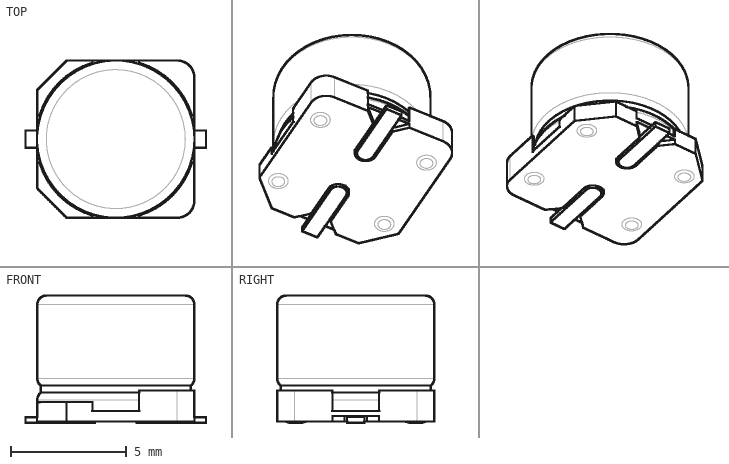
import cadquery as cq
import math

overall_length = 7.8
base_width = 6.8
overall_height = 5.5
half_base = base_width / 2

can_radius = half_base
groove_radius = 6.5 / 2
can_edge_radius = 0.4
groove_bottom = 1.3
groove_top = 1.61
can_bottom_radius = 0.48

base_bottom = 0.05
pocket_floor = 0.5
low_rim_top = 0.9
high_rim_top = 1.405
corner_chamfer = 1.28
corner_radius = 0.75
pocket_diameter = 6.895
side_opening = 2.03

foot_top_radius = 0.85 / 2
foot_tip_radius = 0.55 / 2
foot_x_left = -1.9
foot_x_right = 2.0
foot_y = 2.59

lead_width = 0.75
lead_thickness = 0.25
lead_inner_end = 0.9
lead_outer_end = overall_length / 2
channel_width = 0.95
channel_top = 0.3
lead_round_center = lead_inner_end + lead_width / 2


def make_can():
    """Revolved can with a rounded top, a crimp groove and a rounded bottom."""
    groove_depth = can_radius - groove_radius
    arc_center_radius = can_radius - can_edge_radius
    lip_height = math.sqrt(can_edge_radius**2 - (can_edge_radius - groove_depth) ** 2)
    lip_half_angle = math.asin(lip_height / can_edge_radius) / 2
    lip_mid_radius = arc_center_radius + can_edge_radius * math.cos(lip_half_angle)
    lip_mid_height = can_edge_radius * math.sin(lip_half_angle)
    lower_lip = groove_bottom - lip_height
    upper_lip = groove_top + lip_height
    profile = (
        cq.Workplane("XZ")
        .moveTo(0, pocket_floor)
        .lineTo(can_radius, pocket_floor)
        .lineTo(can_radius, lower_lip)
        .threePointArc((lip_mid_radius, lower_lip + lip_mid_height), (groove_radius, groove_bottom))
        .lineTo(groove_radius, groove_top)
        .threePointArc((lip_mid_radius, upper_lip - lip_mid_height), (can_radius, upper_lip))
        .lineTo(can_radius, overall_height)
        .lineTo(0, overall_height)
        .close()
    )
    can = profile.revolve(360, (0, 0, 0), (0, 1, 0))
    can = can.faces(">Z").edges().fillet(can_edge_radius)
    return can.faces("<Z").edges().fillet(can_bottom_radius)


def make_foot(x, y):
    """Tapered standoff, narrowest where it meets the board."""
    return (
        cq.Workplane("XY")
        .center(x, y)
        .circle(foot_tip_radius)
        .workplane(offset=base_bottom)
        .circle(foot_top_radius)
        .loft(ruled=True)
    )


def make_channel():
    """Underside channel for the +X lead: round inner end, flared mouth."""
    half_channel = channel_width / 2
    half_mouth = side_opening / 2
    flare_start = half_base - (half_mouth - half_channel)
    return (
        cq.Workplane("XY")
        .moveTo(lead_round_center, -half_channel)
        .lineTo(flare_start, -half_channel)
        .lineTo(half_base, -half_mouth)
        .lineTo(half_base, half_mouth)
        .lineTo(flare_start, half_channel)
        .lineTo(lead_round_center, half_channel)
        .threePointArc((lead_round_center - half_channel, 0), (lead_round_center, -half_channel))
        .close()
        .extrude(channel_top)
    )


def make_base():
    """Base plate with a raised rim at each corner, higher on the +X side."""
    base = (
        cq.Workplane("XY", origin=(0, 0, base_bottom))
        .rect(base_width, base_width)
        .extrude(high_rim_top - base_bottom)
    )
    base = base.edges("|Z and <X").chamfer(corner_chamfer)
    base = base.edges("|Z and >X").fillet(corner_radius)

    rim_step = cq.Workplane("XY", origin=(-half_base / 2, 0, low_rim_top))
    base = base.cut(rim_step.rect(half_base, base_width).extrude(high_rim_top - low_rim_top))

    floor = cq.Workplane("XY", origin=(0, 0, pocket_floor))
    cut_height = high_rim_top - pocket_floor
    base = base.cut(floor.circle(pocket_diameter / 2).extrude(cut_height))
    base = base.cut(floor.rect(side_opening, base_width).extrude(cut_height))
    base = base.cut(floor.rect(base_width, side_opening).extrude(cut_height))

    for turn in (0, 180):
        base = base.cut(make_channel().rotate((0, 0, 0), (0, 0, 1), turn))
    for x in (foot_x_left, foot_x_right):
        for y in (-foot_y, foot_y):
            base = base.union(make_foot(x, y))
    return base


def make_lead(turn):
    """Flat lead with a round inner end, turned about Z to its side."""
    half_width = lead_width / 2
    lead = (
        cq.Workplane("XY")
        .moveTo(lead_round_center, -half_width)
        .lineTo(lead_outer_end, -half_width)
        .lineTo(lead_outer_end, half_width)
        .lineTo(lead_round_center, half_width)
        .threePointArc((lead_inner_end, 0), (lead_round_center, -half_width))
        .close()
        .extrude(lead_thickness)
    )
    return lead.rotate((0, 0, 0), (0, 0, 1), turn)


can = make_can()
base = make_base()
leads = [make_lead(turn).val() for turn in (0, 180)]

result = cq.Compound.makeCompound([can.solids().val(), base.solids().val(), *leads])